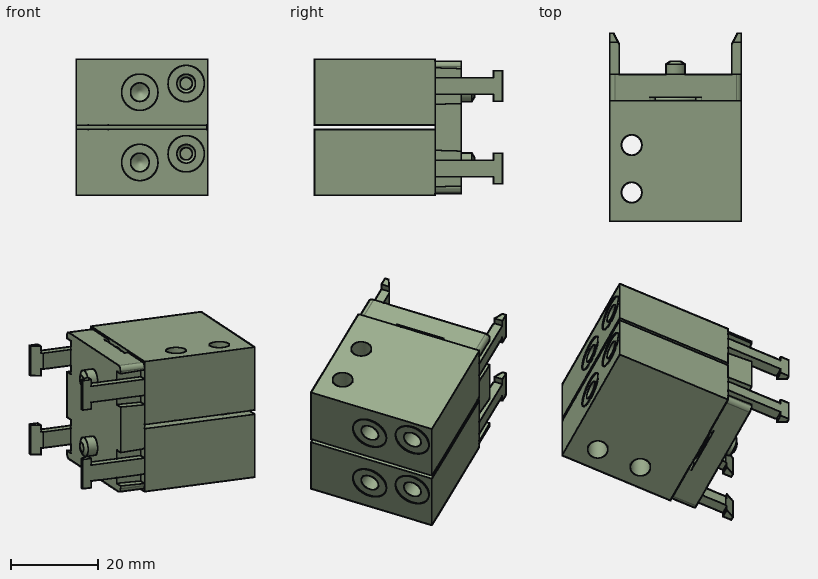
import cadquery as cq
import math

WIDTH = 30.0
HEIGHT = 31.0
TOTAL_LENGTH = 42.9

BLOCK_LENGTH = 27.5
BLOCK_HEIGHT = 15.0
BLOCK_PITCH = HEIGHT - BLOCK_HEIGHT
BLOCK_BOTTOMS = [0.0, BLOCK_PITCH]
BLOCK_MIDDLE = BLOCK_HEIGHT / 2

MOUNT_HOLE_DIAMETER = 4.6
MOUNT_HOLE_X = 5.0
MOUNT_HOLE_FIRST_Y = 6.6
MOUNT_HOLE_SPACING = 10.8
MOUNT_HOLE_COUNT = 2

INSERT_DIAMETER = 8.3
INSERT_LENGTH = 10.3
INSERT_SETBACK = 0.2
PORT_DIAMETER = 4.25
PORT_DEPTH = 6.85
PORT_CONE_ANGLE = 118.0
POINTED_PORT_X = 14.5
POINTED_PORT_Z = BLOCK_MIDDLE
FLAT_PORT_X = 25.05
FLAT_PORT_Z = 9.5
FLAT_PORT_END_DIAMETER = 2.8

ARM_THICKNESS = 2.2
ARM_HEIGHT = 3.8
ARM_PITCH = 18.8
ARM_CENTERS_Z = [(HEIGHT - ARM_PITCH) / 2, (HEIGHT + ARM_PITCH) / 2]
HEAD_HEIGHT = 7.0
HEAD_LENGTH = 2.1
TIP_THICKNESS = 0.9
TIP_TAPER_LENGTH = 2.55

PLATE_THICKNESS = 6.0
PLATE_HEIGHT = 30.15
PLATE_BACK = BLOCK_LENGTH + PLATE_THICKNESS
PLATE_BOTTOM = (HEIGHT - PLATE_HEIGHT) / 2
PLATE_CORNER_RADIUS = 1.1
NOTCH_BACK_HEIGHT = 7.95
NOTCH_FRONT_HEIGHT = 8.32
SIDE_TAPER = 0.25

RECESS_RADIUS = 6.95
RECESS_DEPTH = 0.8
MOUTH_RADIUS = 1.3

PIN_DIAMETER = 4.4
PIN_PROJECTION = 3.0
PIN_TIP_LENGTH = 0.65
PIN_TIP_DIAMETER = 2.25
FLANGE_RADIUS = 6.65
FLANGE_EDGE_RADIUS = 0.55
PIN_X = WIDTH / 2
PIN_CENTERS_Z = [bottom + BLOCK_MIDDLE for bottom in BLOCK_BOTTOMS]


def box(x_range, y_range, z_range):
    """Box between the given limits on each axis."""
    size = [high - low for low, high in (x_range, y_range, z_range)]
    corner = (x_range[0], y_range[0], z_range[0])
    return cq.Workplane("XY").box(*size, centered=False).translate(corner)


def rod(diameter, length, x, y, z):
    """Cylinder running in +Y from the point (x, y, z)."""
    start = cq.Vector(x, y, z)
    return cq.Workplane(cq.Solid.makeCylinder(diameter / 2, length, start, cq.Vector(0, 1, 0)))


def clip_arm(center_z):
    """Arm on the -X side with a T-shaped head and an inward taper at its tip."""
    plan = (
        cq.Workplane("XY")
        .moveTo(0, BLOCK_LENGTH)
        .lineTo(ARM_THICKNESS, BLOCK_LENGTH)
        .lineTo(ARM_THICKNESS, TOTAL_LENGTH - TIP_TAPER_LENGTH)
        .lineTo(TIP_THICKNESS, TOTAL_LENGTH)
        .lineTo(0, TOTAL_LENGTH)
        .close()
        .extrude(HEAD_HEIGHT)
        .translate((0, 0, center_z - HEAD_HEIGHT / 2))
    )
    head_front = TOTAL_LENGTH - HEAD_LENGTH
    shank_half = ARM_HEIGHT / 2
    head_half = HEAD_HEIGHT / 2
    thickness = (0, ARM_THICKNESS)
    shank = box(thickness, (BLOCK_LENGTH, head_front), (center_z - shank_half, center_z + shank_half))
    head = box(thickness, (head_front, TOTAL_LENGTH), (center_z - head_half, center_z + head_half))
    return plan.intersect(shank.union(head))


def mirror_across_width(body):
    """Mirror image of a body about the middle of the width."""
    return body.mirror("YZ", (WIDTH / 2, 0, 0))


def valve_block(bottom):
    """Block with mounting holes and insert bores."""
    block = box((0, WIDTH), (0, BLOCK_LENGTH), (bottom, bottom + BLOCK_HEIGHT))
    for index in range(MOUNT_HOLE_COUNT):
        hole_y = MOUNT_HOLE_FIRST_Y + index * MOUNT_HOLE_SPACING
        hole = cq.Workplane("XY").circle(MOUNT_HOLE_DIAMETER / 2).extrude(BLOCK_HEIGHT)
        block = block.cut(hole.translate((MOUNT_HOLE_X, hole_y, bottom)))
    for x, z in ((POINTED_PORT_X, POINTED_PORT_Z), (FLAT_PORT_X, FLAT_PORT_Z)):
        block = block.cut(rod(INSERT_DIAMETER, INSERT_SETBACK + INSERT_LENGTH, x, 0, bottom + z))
    return block


def port_insert(x, z, end_diameter):
    """Round insert with a blind port that narrows to end_diameter."""
    cone_rise = (PORT_DIAMETER - end_diameter) / 2
    port_end = PORT_DEPTH + cone_rise / math.tan(math.radians(PORT_CONE_ANGLE / 2))
    section = (
        cq.Workplane("XY")
        .moveTo(PORT_DIAMETER / 2, 0)
        .lineTo(INSERT_DIAMETER / 2, 0)
        .lineTo(INSERT_DIAMETER / 2, INSERT_LENGTH)
        .lineTo(0, INSERT_LENGTH)
        .lineTo(0, port_end)
    )
    if end_diameter > 0:
        section = section.lineTo(end_diameter / 2, port_end)
    section = section.lineTo(PORT_DIAMETER / 2, PORT_DEPTH).close()
    return section.revolve(360, (0, 0, 0), (0, 1, 0)).translate((x, INSERT_SETBACK, z))


def plate_notch(center_z):
    """Notch around a clip arm on the -X side, as deep as the arm and slightly taller at the front."""
    front = NOTCH_FRONT_HEIGHT / 2
    back = NOTCH_BACK_HEIGHT / 2
    return (
        cq.Workplane("YZ")
        .moveTo(BLOCK_LENGTH, center_z - front)
        .lineTo(PLATE_BACK, center_z - back)
        .lineTo(PLATE_BACK, center_z + back)
        .lineTo(BLOCK_LENGTH, center_z + front)
        .close()
        .extrude(ARM_THICKNESS)
    )


def upper_recess():
    """Round flange recess that opens through the plate top with rounded lips."""
    center_z = PIN_CENTERS_Z[1]
    top = PLATE_BOTTOM + PLATE_HEIGHT
    lip_rise = top - MOUTH_RADIUS - center_z
    reach = RECESS_RADIUS + MOUTH_RADIUS
    lip_x = math.sqrt(reach**2 - lip_rise**2)
    lip_z = center_z + lip_rise
    touch_x = lip_x * RECESS_RADIUS / reach
    touch_z = center_z + lip_rise * RECESS_RADIUS / reach
    up_angle = math.pi / 2
    touch_angle = math.pi + math.atan2(lip_rise, lip_x)
    middle_angle = (up_angle + touch_angle) / 2
    middle_x = lip_x + MOUTH_RADIUS * math.cos(middle_angle)
    middle_z = lip_z + MOUTH_RADIUS * math.sin(middle_angle)
    outline = (
        cq.Workplane("XZ")
        .moveTo(-lip_x, top)
        .lineTo(lip_x, top)
        .threePointArc((middle_x, middle_z), (touch_x, touch_z))
        .threePointArc((0, center_z - RECESS_RADIUS), (-touch_x, touch_z))
        .threePointArc((-middle_x, middle_z), (-lip_x, top))
        .close()
    )
    return outline.extrude(-RECESS_DEPTH).translate((PIN_X, BLOCK_LENGTH, 0))


def side_taper():
    """Wedge removed from the +X side between the notches, widest at the front."""
    return (
        cq.Workplane("XY")
        .moveTo(WIDTH - SIDE_TAPER, BLOCK_LENGTH)
        .lineTo(WIDTH, BLOCK_LENGTH)
        .lineTo(WIDTH, PLATE_BACK)
        .close()
        .extrude(ARM_PITCH - NOTCH_BACK_HEIGHT)
        .translate((0, 0, ARM_CENTERS_Z[0] + NOTCH_BACK_HEIGHT / 2))
    )


def back_plate():
    """Plate behind both blocks, bored for the pins, with a clip arm standing in each side notch."""
    plate = box((0, WIDTH), (BLOCK_LENGTH, PLATE_BACK), (PLATE_BOTTOM, PLATE_BOTTOM + PLATE_HEIGHT))
    plate = plate.edges("|Y").fillet(PLATE_CORNER_RADIUS)
    for center_z in ARM_CENTERS_Z:
        notch = plate_notch(center_z)
        plate = plate.cut(notch).cut(mirror_across_width(notch))
    recess = upper_recess()
    plate = plate.cut(recess).cut(recess.mirror("XY", (0, 0, HEIGHT / 2)))
    for center_z in PIN_CENTERS_Z:
        plate = plate.cut(rod(PIN_DIAMETER, PLATE_THICKNESS, PIN_X, BLOCK_LENGTH, center_z))
    plate = plate.cut(side_taper())
    for center_z in ARM_CENTERS_Z:
        arm = clip_arm(center_z)
        plate = plate.union(arm).union(mirror_across_width(arm))
    return plate


def flanged_pin(center_z):
    """Pin through the plate, with a flange in the recess and a tapered tip."""
    length = PLATE_THICKNESS + PIN_PROJECTION
    flange = rod(2 * FLANGE_RADIUS, RECESS_DEPTH, PIN_X, BLOCK_LENGTH, center_z)
    flange = flange.edges(">Y").fillet(FLANGE_EDGE_RADIUS)
    section = (
        cq.Workplane("XY")
        .lineTo(PIN_DIAMETER / 2, 0)
        .lineTo(PIN_DIAMETER / 2, length - PIN_TIP_LENGTH)
        .lineTo(PIN_TIP_DIAMETER / 2, length)
        .lineTo(0, length)
        .close()
    )
    shank = section.revolve(360, (0, 0, 0), (0, 1, 0)).translate((PIN_X, BLOCK_LENGTH, center_z))
    return flange.union(shank)


blocks = [valve_block(bottom) for bottom in BLOCK_BOTTOMS]
inserts = []
for block_bottom in BLOCK_BOTTOMS:
    inserts.append(port_insert(POINTED_PORT_X, block_bottom + POINTED_PORT_Z, 0))
    inserts.append(port_insert(FLAT_PORT_X, block_bottom + FLAT_PORT_Z, FLAT_PORT_END_DIAMETER))
plate_body = back_plate()
pins = [flanged_pin(center_z) for center_z in PIN_CENTERS_Z]

bodies = [*blocks, *inserts, plate_body, *pins]
result = cq.Compound.makeCompound([solid for body in bodies for solid in body.solids().vals()])